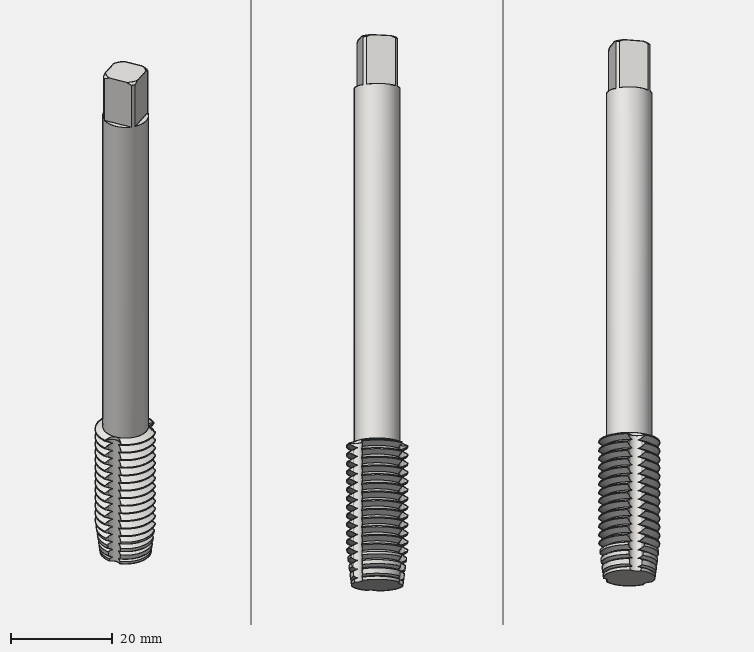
import cadquery as cq
import math

TOTAL_LENGTH = 110.0

HEAD_LENGTH = 27.9
PITCH_COUNT = 16
THREAD_DIAMETER = 12.0
FLANK_ANGLE = 60.0
CREST_FRACTION = 1 / 8
TAPER_LENGTH = 7.0
TIP_DIAMETER = 10.1

FLUTE_COUNT = 3
FLUTE_RADIUS = 1.6
FLUTE_ANGLE = 80.0
FLUTE_FLOOR_RADIUS = 4.5
FIRST_FLUTE_ANGLE = -90.0

SHANK_DIAMETER = 9.0
COLLAR_HEIGHT = 0.7
SQUARE_WIDTH = 6.9
SQUARE_LENGTH = 10.0
END_CHAMFER_WIDTH = 0.5
END_CHAMFER_HEIGHT = 0.4

pitch = HEAD_LENGTH / PITCH_COUNT
crest_radius = THREAD_DIAMETER / 2
half_crest = CREST_FRACTION * pitch / 2
groove_depth = (pitch / 2 - half_crest) / math.tan(math.radians(FLANK_ANGLE / 2))
root_radius = crest_radius - groove_depth

shank_radius = SHANK_DIAMETER / 2
collar_top = HEAD_LENGTH + COLLAR_HEIGHT


def revolve_about_z(profile):
    """Revolve a closed profile, drawn as radius and height, one full turn about Z."""
    return profile.revolve(360, (0, 0, 0), (0, 1, 0))


def make_threaded_blank():
    """Ring-shaped teeth, one crest per pitch, with half a crest at either end."""
    profile = cq.Workplane("XZ").lineTo(crest_radius, 0)
    for tooth in range(PITCH_COUNT):
        crest_z = tooth * pitch
        profile = (
            profile.lineTo(crest_radius, crest_z + half_crest)
            .lineTo(root_radius, crest_z + pitch / 2)
            .lineTo(crest_radius, crest_z + pitch - half_crest)
        )
    profile = profile.lineTo(crest_radius, HEAD_LENGTH).lineTo(0, HEAD_LENGTH).close()
    return revolve_about_z(profile)


def make_taper_envelope():
    """The head's outer limit: a cone at the tip that runs into a plain cylinder."""
    profile = (
        cq.Workplane("XZ")
        .lineTo(TIP_DIAMETER / 2, 0)
        .lineTo(crest_radius, TAPER_LENGTH)
        .lineTo(crest_radius, HEAD_LENGTH)
        .lineTo(0, HEAD_LENGTH)
        .close()
    )
    return revolve_about_z(profile)


def make_flute():
    """A straight V groove with a rounded floor, opening toward +X over the head and collar."""
    half_angle = math.radians(FLUTE_ANGLE / 2)
    floor_center_x = FLUTE_FLOOR_RADIUS + FLUTE_RADIUS
    wall_start_x = floor_center_x - FLUTE_RADIUS * math.sin(half_angle)
    wall_start_y = FLUTE_RADIUS * math.cos(half_angle)
    wall_end_x = THREAD_DIAMETER
    wall_end_y = wall_start_y + (wall_end_x - wall_start_x) * math.tan(half_angle)
    return (
        cq.Workplane("XY")
        .moveTo(wall_end_x, -wall_end_y)
        .lineTo(wall_start_x, -wall_start_y)
        .threePointArc((FLUTE_FLOOR_RADIUS, 0), (wall_start_x, wall_start_y))
        .lineTo(wall_end_x, wall_end_y)
        .close()
        .extrude(collar_top)
    )


def cut_flutes(body):
    """Cut the flutes, evenly spaced around the axis, from a body."""
    for number in range(FLUTE_COUNT):
        angle = FIRST_FLUTE_ANGLE + number * 360 / FLUTE_COUNT
        body = body.cut(make_flute().rotate((0, 0, 0), (0, 0, 1), angle))
    return body


def make_head():
    return cut_flutes(make_threaded_blank().intersect(make_taper_envelope()))


def make_shank_blank():
    """The round shank with its flared collar below and a chamfered end above."""
    profile = (
        cq.Workplane("XZ")
        .moveTo(0, HEAD_LENGTH)
        .lineTo(crest_radius, HEAD_LENGTH)
        .lineTo(crest_radius, HEAD_LENGTH + half_crest)
        .lineTo(shank_radius, collar_top)
        .lineTo(shank_radius, TOTAL_LENGTH)
        .lineTo(0, TOTAL_LENGTH)
        .close()
    )
    return revolve_about_z(profile).faces(">Z").chamfer(END_CHAMFER_HEIGHT, END_CHAMFER_WIDTH)


def make_drive_cutter():
    """A ring with a square hole, which leaves a square drive with rounded corners."""
    return (
        cq.Workplane("XY", origin=(0, 0, TOTAL_LENGTH - SQUARE_LENGTH))
        .circle(SHANK_DIAMETER)
        .rect(SQUARE_WIDTH, SQUARE_WIDTH)
        .extrude(SQUARE_LENGTH)
    )


def make_shank():
    return cut_flutes(make_shank_blank()).cut(make_drive_cutter())


head = make_head()
shank = make_shank()
result = cq.Compound.makeCompound([head.val(), shank.val()])